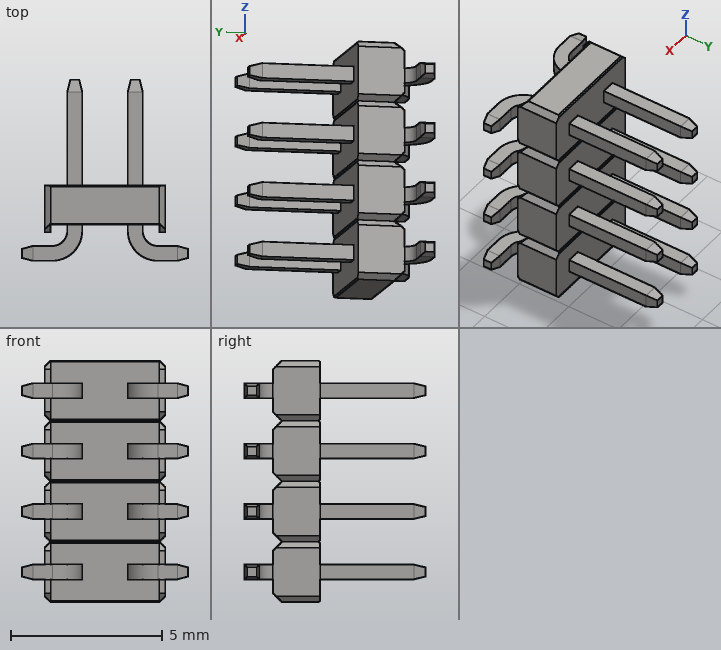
import cadquery as cq
import math

segment_count = 4
pitch = 2.0

housing_width = 2 * pitch
housing_depth = 1.56
corner_bevel = 0.2
front_chamfer = 0.3
back_chamfer = 0.05
recess_depth = 0.25
flange_width = corner_bevel

pin_width = pitch / 4
pin_reach = 3.5
foot_reach = 2.5
foot_span = 5.5
bend_inner_radius = pin_width
bend_outer_radius = bend_inner_radius + pin_width
tip_width = 0.3
rear_tip_length = 0.4
foot_tip_length = 0.36


def make_housing():
    """Block with bevelled long edges, chamfered front and back, and a recessed front face."""
    block = (
        cq.Workplane("XY")
        .box(housing_width, housing_depth, pitch)
        .edges("|Y")
        .chamfer(corner_bevel)
        .translate((0, -housing_depth / 2, 0))
    )
    half = pitch / 2
    side_profile = (
        cq.Workplane("YZ")
        .polyline([
            (0, half - back_chamfer),
            (-back_chamfer, half),
            (front_chamfer - housing_depth, half),
            (-housing_depth, half - front_chamfer),
            (-housing_depth, front_chamfer - half),
            (front_chamfer - housing_depth, -half),
            (-back_chamfer, -half),
            (0, back_chamfer - half),
        ])
        .close()
        .extrude(housing_width / 2, both=True)
    )
    recess = (
        cq.Workplane("XY")
        .box(housing_width - 2 * flange_width, recess_depth, pitch)
        .translate((0, recess_depth / 2 - housing_depth, 0))
    )
    return block.intersect(side_profile).cut(recess)


def make_tip(base, direction, length):
    """Square tip that narrows from the pin width to the tip width along a direction."""
    taper = math.degrees(math.atan((pin_width - tip_width) / 2 / length))
    plane = cq.Plane(origin=base, xDir=(0, 0, 1), normal=direction)
    return cq.Workplane(plane).rect(pin_width, pin_width).extrude(length, taper=taper)


def make_pin():
    """Right-hand pin: straight shank along Y, a quarter bend, and a foot towards +X."""
    center_x = pitch / 2
    inner_x = center_x - pin_width / 2
    outer_x = center_x + pin_width / 2
    bend_center_x = inner_x + bend_outer_radius
    bend_center_y = bend_outer_radius - foot_reach
    rear_y = pin_reach - rear_tip_length
    foot_x = foot_span / 2 - foot_tip_length
    foot_inner_y = pin_width - foot_reach
    diagonal = math.sqrt(0.5)

    shaft = (
        cq.Workplane("XY")
        .moveTo(inner_x, rear_y)
        .lineTo(inner_x, bend_center_y)
        .threePointArc(
            (bend_center_x - bend_outer_radius * diagonal, bend_center_y - bend_outer_radius * diagonal),
            (bend_center_x, -foot_reach),
        )
        .lineTo(foot_x, -foot_reach)
        .lineTo(foot_x, foot_inner_y)
        .lineTo(bend_center_x, foot_inner_y)
        .threePointArc(
            (bend_center_x - bend_inner_radius * diagonal, bend_center_y - bend_inner_radius * diagonal),
            (outer_x, bend_center_y),
        )
        .lineTo(outer_x, rear_y)
        .close()
        .extrude(pin_width / 2, both=True)
    )
    rear_tip = make_tip((center_x, rear_y, 0), (0, 1, 0), rear_tip_length)
    foot_tip = make_tip((foot_x, pin_width / 2 - foot_reach, 0), (1, 0, 0), foot_tip_length)
    return shaft.union(rear_tip).union(foot_tip)


def make_segment():
    """One body: a housing block in one piece with its mirrored pair of pins."""
    pin = make_pin()
    return make_housing().union(pin).union(pin.mirror("YZ"))


segment = make_segment()
segments = []
for index in range(segment_count):
    height = (index - (segment_count - 1) / 2) * pitch
    segments.extend(segment.translate((0, 0, height)).solids().vals())

result = cq.Compound.makeCompound(segments)